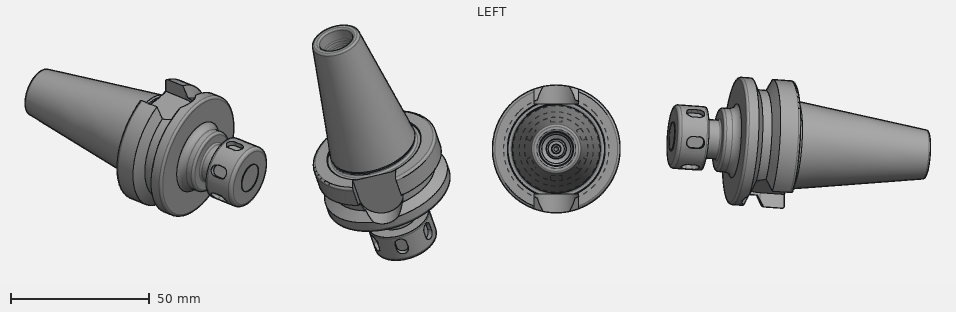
import cadquery as cq
import math

total_length = 93.4

gauge_x = 48.6
gauge_radius = 15.9
taper_ratio = 7 / 24
shank_end_radius = gauge_radius - gauge_x * taper_ratio / 2
shank_end_fillet = 0.8
neck_start_x = 49.4
neck_radius = 15.5
neck_root_fillet = 0.75

flange_radius = 23.02
flange_start_x = 50.4
flange_end_x = 70.4
flange_edge_fillet = 0.9
recess_radius = 17.65
recess_depth = 0.3
recess_chamfer = 0.3
groove_radius = 19.0
groove_start_x = 58.0
groove_floor_start_x = 60.3
groove_floor_end_x = 63.7
groove_end_x = 65.9

slot_width = 16.1
slot_end_x = 67.4
slot_floor_z = 16.2

nose_radius = 11.5
nose_end_x = 76.4
nose_edge_fillet = 0.9
nose_root_start_x = 73.3
nose_root_radius = 3.2
stem_radius = 7.0
stem_root_fillet = 0.7

nut_radius = 11.5
nut_start_x = 81.9
nut_end_x = 93.1
nut_back_chamfer_length = 0.7
nut_back_chamfer_height = 0.1
nut_front_fillet = 1.3
collet_radius = 5.2

spanner_slot_count = 6
spanner_slot_x = 86.6
spanner_slot_length = 6.5
spanner_slot_width = 4.3
spanner_slot_depth = 1.9

bore_radius = 6.3
bore_mouth_fillet = 0.75
bore_end_x = 4.8
pilot_bore_radius = 6.1
pilot_bore_start_x = 5.4
pilot_bore_end_x = 6.7
thread_radius = 6.0
thread_start_x = 7.5
thread_end_x = 23.35
core_radius = 5.2
core_start_x = 24.7
core_end_x = 29.9
drill_tip_angle = 118
seat_radius = 3.6
stop_radius = 3.5
stop_face_radius = 2.9
socket_mouth_radius = 1.73
socket_radius = 1.5
socket_depth = 3.7
socket_hole_radius = 0.8
socket_hole_depth = 1.9


def turned_body():
    """Shank, flange, nose, nut and collet as one solid of revolution."""
    root_rise = nose_root_radius - math.sqrt(
        nose_root_radius**2 - (nose_root_start_x - flange_end_x) ** 2
    )
    outline = (
        cq.Workplane("XY")
        .moveTo(0, 0)
        .lineTo(0, shank_end_radius)
        .lineTo(gauge_x, gauge_radius)
        .lineTo(neck_start_x, neck_radius)
        .lineTo(flange_start_x + recess_depth, neck_radius)
        .lineTo(flange_start_x + recess_depth, recess_radius - recess_chamfer)
        .lineTo(flange_start_x, recess_radius)
        .lineTo(flange_start_x, flange_radius)
        .lineTo(groove_start_x, flange_radius)
        .lineTo(groove_floor_start_x, groove_radius)
        .lineTo(groove_floor_end_x, groove_radius)
        .lineTo(groove_end_x, flange_radius)
        .lineTo(flange_end_x, flange_radius)
        .lineTo(flange_end_x, nose_radius + root_rise)
        .radiusArc((nose_root_start_x, nose_radius), -nose_root_radius)
        .lineTo(nose_end_x, nose_radius)
        .lineTo(nose_end_x, stem_radius)
        .lineTo(nut_start_x, stem_radius)
        .lineTo(nut_start_x, nut_radius - nut_back_chamfer_height)
        .lineTo(nut_start_x + nut_back_chamfer_length, nut_radius)
        .lineTo(nut_end_x, nut_radius)
        .lineTo(nut_end_x, collet_radius)
        .lineTo(total_length, collet_radius)
        .lineTo(total_length, 0)
        .close()
    )
    return outline.revolve(360, (0, 0, 0), (1, 0, 0))


def fillet_circle(body, x, radius, size):
    """Round the circular edge that lies at the given x with the given radius."""
    margin = 0.05
    outer = radius + margin
    box = cq.selectors.BoxSelector(
        (x - margin, -outer, -outer), (x + margin, outer, outer), boundingbox=True
    )
    edges = body.edges(box).edges(cq.selectors.RadiusNthSelector(-1))
    return body.newObject(edges.vals()).fillet(size)


def bore():
    """Cutter for the stepped bore, whose conical bottom ends at a socketed stop screw."""
    seat_x = core_end_x + (core_radius - seat_radius) / math.tan(math.radians(drill_tip_angle / 2))
    stop_face_x = seat_x - (stop_radius - stop_face_radius)
    outline = (
        cq.Workplane("XY")
        .moveTo(0, 0)
        .lineTo(0, bore_radius + bore_mouth_fillet)
        .radiusArc((bore_mouth_fillet, bore_radius), -bore_mouth_fillet)
        .lineTo(bore_end_x, bore_radius)
        .lineTo(pilot_bore_start_x, pilot_bore_radius)
        .lineTo(pilot_bore_end_x, pilot_bore_radius)
        .lineTo(thread_start_x, thread_radius)
        .lineTo(thread_end_x, thread_radius)
        .lineTo(core_start_x, core_radius)
        .lineTo(core_end_x, core_radius)
        .lineTo(seat_x, seat_radius)
        .lineTo(seat_x, stop_radius)
        .lineTo(stop_face_x, stop_face_radius)
        .lineTo(stop_face_x, socket_mouth_radius)
        .lineTo(stop_face_x + socket_mouth_radius - socket_radius, socket_radius)
        .lineTo(stop_face_x + socket_depth, socket_radius)
        .lineTo(stop_face_x + socket_depth, socket_hole_radius)
        .lineTo(stop_face_x + socket_depth + socket_hole_depth, 0)
        .close()
    )
    return outline.revolve(360, (0, 0, 0), (1, 0, 0))


def drive_slot():
    """Cutter for the upper drive slot: open towards the shank, round at the nose end."""
    half_width = slot_width / 2
    arc_x = slot_end_x - half_width
    return (
        cq.Workplane("XY", origin=(0, 0, slot_floor_z))
        .moveTo(gauge_x, -half_width)
        .lineTo(arc_x, -half_width)
        .threePointArc((slot_end_x, 0), (arc_x, half_width))
        .lineTo(gauge_x, half_width)
        .close()
        .extrude(flange_radius)
    )


def spanner_slot(angle):
    """Cutter for one flat-bottomed spanner slot, turned about X from the top."""
    return (
        cq.Workplane("XY", origin=(spanner_slot_x, 0, nut_radius - spanner_slot_depth))
        .slot2D(spanner_slot_length, spanner_slot_width)
        .extrude(2 * spanner_slot_depth)
        .rotate((0, 0, 0), (1, 0, 0), angle)
    )


rounded_edges = (
    (0, shank_end_radius, shank_end_fillet),
    (flange_start_x + recess_depth, neck_radius, neck_root_fillet),
    (flange_start_x, flange_radius, flange_edge_fillet),
    (flange_end_x, flange_radius, flange_edge_fillet),
    (nose_end_x, nose_radius, nose_edge_fillet),
    (nose_end_x, stem_radius, stem_root_fillet),
    (nut_end_x, nut_radius, nut_front_fillet),
)

result = turned_body()
for edge_x, edge_radius, fillet_size in rounded_edges:
    result = fillet_circle(result, edge_x, edge_radius, fillet_size)
result = result.cut(bore())
for turn in (0, 180):
    result = result.cut(drive_slot().rotate((0, 0, 0), (1, 0, 0), turn))
for i in range(spanner_slot_count):
    result = result.cut(spanner_slot(i * 360 / spanner_slot_count))